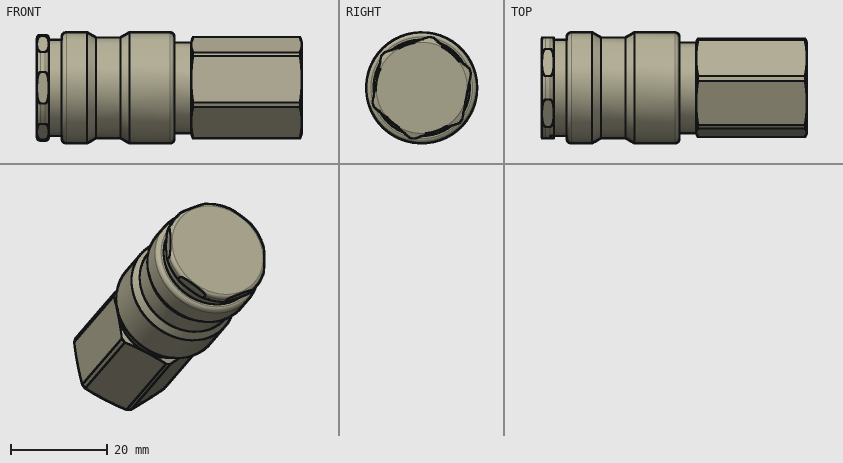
import cadquery as cq
import math

TOTAL_LENGTH = 55.1
HEX_SIDES = 6

SLEEVE_START = 5.2
SLEEVE_END = 28.65
SLEEVE_RADIUS = 23.15 / 2
SLEEVE_EDGE_FILLET = 1.0
WAIST_RADIUS = 21.0 / 2
WAIST_START = 12.35
WAIST_END = 17.4
WAIST_TAPER_LENGTH = 1.9

COLLAR_LENGTH = 2.55
COLLAR_RADIUS = 22.05 / 2
COLLAR_ACROSS_FLATS = 21.05
COLLAR_EDGE_FILLET = 0.8
FRONT_NECK_RADIUS = 20.05 / 2
REAR_NECK_RADIUS = 18.95 / 2
HEX_START = 32.1
HEX_ACROSS_FLATS = 19.0
HEX_CORNER_RADIUS = 21.4 / 2
HEX_CHAMFER_LENGTH = 0.4
HEX_TURN = -10.7


def round_bar(start, end, radius):
    """Solid cylinder along X between two X positions."""
    return cq.Workplane("YZ", origin=(start, 0, 0)).circle(radius).extrude(end - start)


def hex_bar(start, end, across_flats, turn):
    """Hexagonal bar along X; with no turn, two of its flats face +Y and -Y."""
    corner_diameter = across_flats / math.cos(math.pi / HEX_SIDES)
    bar = cq.Workplane("YZ", origin=(start, 0, 0)).polygon(HEX_SIDES, corner_diameter).extrude(end - start)
    half_side_angle = 180 / HEX_SIDES
    return bar.rotate((0, 0, 0), (1, 0, 0), half_side_angle + turn)


def make_collar():
    """Disc with rounded rims, trimmed by six flats."""
    disc = round_bar(0, COLLAR_LENGTH, COLLAR_RADIUS).edges().fillet(COLLAR_EDGE_FILLET)
    return disc.intersect(hex_bar(0, COLLAR_LENGTH, COLLAR_ACROSS_FLATS, 0))


def make_wrench_hex():
    """Hexagon with turned corners and a conical chamfer at each end."""
    profile = [
        (HEX_START, 0),
        (HEX_START, REAR_NECK_RADIUS),
        (HEX_START + HEX_CHAMFER_LENGTH, HEX_CORNER_RADIUS),
        (TOTAL_LENGTH - HEX_CHAMFER_LENGTH, HEX_CORNER_RADIUS),
        (TOTAL_LENGTH, REAR_NECK_RADIUS),
        (TOTAL_LENGTH, 0),
    ]
    blank = cq.Workplane("XY").polyline(profile).close().revolve(360, (0, 0), (1, 0))
    return blank.intersect(hex_bar(HEX_START, TOTAL_LENGTH, HEX_ACROSS_FLATS, HEX_TURN))


def make_core():
    """Collar, front neck, rear neck and wrench hexagon as one solid."""
    front_neck = round_bar(COLLAR_LENGTH, SLEEVE_END, FRONT_NECK_RADIUS)
    rear_neck = round_bar(SLEEVE_END, HEX_START, REAR_NECK_RADIUS)
    return make_collar().union(front_neck).union(rear_neck).union(make_wrench_hex())


def make_sleeve():
    """Tube around the front neck, with a tapered waist and rounded end rims."""
    profile = [
        (SLEEVE_START, FRONT_NECK_RADIUS),
        (SLEEVE_START, SLEEVE_RADIUS),
        (WAIST_START - WAIST_TAPER_LENGTH, SLEEVE_RADIUS),
        (WAIST_START, WAIST_RADIUS),
        (WAIST_END, WAIST_RADIUS),
        (WAIST_END + WAIST_TAPER_LENGTH, SLEEVE_RADIUS),
        (SLEEVE_END, SLEEVE_RADIUS),
        (SLEEVE_END, FRONT_NECK_RADIUS),
    ]
    tube = cq.Workplane("XY").polyline(profile).close().revolve(360, (0, 0), (1, 0))
    outer_rims = cq.selectors.RadiusNthSelector(-1)
    return tube.faces("<X or >X").edges(outer_rims).fillet(SLEEVE_EDGE_FILLET)


core = make_core()
sleeve = make_sleeve()
result = cq.Compound.makeCompound([core.val(), sleeve.val()])